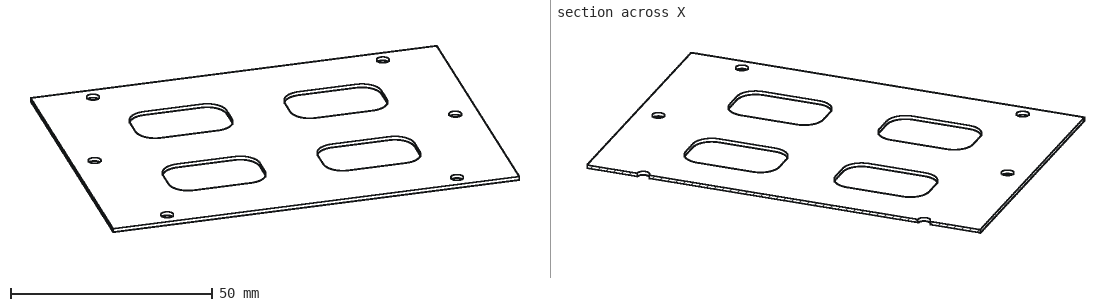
import cadquery as cq

plate_width = 75.0
plate_length = 105.0
plate_thickness = 1.0

window_width = 15.0
window_length = 25.0
window_corner_radius = 5.0
window_spacing_x = 2 * window_width
window_spacing_y = 40.0

hole_diameter = 3.2
side_hole_spacing_x = 67.4
side_hole_spacing_y = plate_width
end_hole_spacing = 93.2


def make_plate():
    return cq.Workplane("XY").box(
        plate_width, plate_length, plate_thickness, centered=(True, True, False)
    )


def make_windows():
    return (
        cq.Workplane("XY")
        .rarray(window_spacing_x, window_spacing_y, 2, 2)
        .rect(window_width, window_length)
        .extrude(plate_thickness)
        .edges("|Z")
        .fillet(window_corner_radius)
    )


def drill_screw_holes(plate):
    top_face = plate.faces(">Z").workplane(origin=(0, 0, plate_thickness))
    drilled = top_face.rarray(side_hole_spacing_x, side_hole_spacing_y, 2, 2).hole(hole_diameter)
    end_holes = [(0, end_hole_spacing / 2), (0, -end_hole_spacing / 2)]
    end_plane = drilled.faces(">Z").workplane(origin=(0, 0, plate_thickness))
    return end_plane.pushPoints(end_holes).hole(hole_diameter)


result = drill_screw_holes(make_plate().cut(make_windows()))